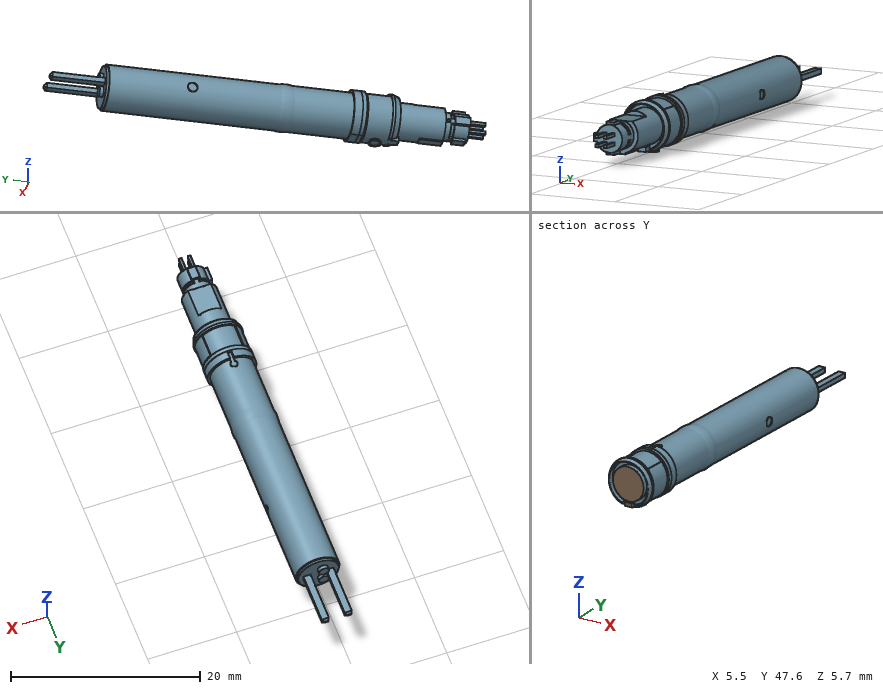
import cadquery as cq
import math


barrel_radius = 2.48
barrel_front = 13.85
barrel_back = 41.35
band_radius = 2.75
band_length = 0.9
ring_front = 21.2
ring_back = 22.6
ring_bulge = 0.1
side_hole_y = 32.3
side_hole_diameter = 1.05
side_hole_depth = 0.15
band_flat_drop = 2.6

keyhole_y = 15.37
keyhole_diameter = 0.75
keyhole_slot_width = 0.45
keyhole_floor = barrel_radius - 0.15

end_disc_radius = 2.3
end_disc_back = 41.65
stud_back = 42.1
stud_diameter = 1.15
stud_x = -0.48
stud_z = 0.75
prong_x = 1.3
prong_width = 0.8
prong_height = 0.55
prong_tip = 47.6
prong_chamfer_length = 0.25
prong_chamfer = 0.2

nose_radius = 2.0
nose_front = 4.6
nose_flat_height = 1.5
nose_flat_back = 7.9
nose_key_back = 7.15
nose_key_width = 0.95
nose_key_drop = nose_radius + 0.1

neck_radius = 1.5
plug_front = 1.9
groove_front = 3.5
groove_back = 3.9
groove_radius = 1.3
bridge_width = 0.55
rib_width = 0.95
rib_height = 1.75
rib_front = 2.15
side_rib_width = 0.85
side_rib_reach = 1.85
neck_hole_y = 4.2
neck_hole_diameter = 0.4
neck_hole_depth = 0.2

contact_width = 0.35
contact_spacing = 1.0
contact_offset = contact_spacing / 2

sleeve_front = 9.65
rim_radius = band_radius
sleeve_front_radius = 2.5
chamfer_back = 10.3
grip_front = 10.55
grip_back = 13.38
grip_radius = 2.65
relief_front = 13.25
recess_radius = 2.5
recess_half_angle = math.radians(45)
mouth_radius = 2.45
mouth_depth = 0.7
notch_width = 1.6
notch_top = 1.75
notch_back = chamfer_back
tab_width = 0.95
tab_top = 2.1
tab_front = 9.4
button_y = 11.9
button_drop = 2.95
button_head_height = 0.1
button_head_diameter = 1.4
button_stem_diameter = 1.05
button_root_gap = 0.15


def rod(radius, front, back, x=0, z=0):
    """Cylinder along Y between two stations."""
    return cq.Workplane("XZ", origin=(x, front, z)).circle(radius).extrude(front - back)


def block(x_range, y_range, z_range):
    """Axis-aligned box from its limits along each axis."""
    lows, highs = zip(x_range, y_range, z_range)
    size = [high - low for low, high in zip(lows, highs)]
    return cq.Workplane("XY").box(*size, centered=False).translate(lows)


def centred_block(width, y_range, z_range):
    """Box that straddles the plane x = 0."""
    return block((-width / 2, width / 2), y_range, z_range)


def bottom_trim(y_range):
    """Material below the bottom flat shared by the barrel band and the sleeve."""
    return centred_block(2 * band_radius, y_range, (-2 * band_radius, -band_flat_drop))


def make_barrel():
    band_back = barrel_front + band_length
    ring_middle = (ring_front + ring_back) / 2
    profile = (
        cq.Workplane("XY")
        .moveTo(0, barrel_front)
        .lineTo(band_radius, barrel_front)
        .lineTo(band_radius, band_back)
        .lineTo(barrel_radius, band_back)
        .lineTo(barrel_radius, ring_front)
        .threePointArc((barrel_radius + ring_bulge, ring_middle), (barrel_radius, ring_back))
        .lineTo(barrel_radius, barrel_back)
        .lineTo(end_disc_radius, barrel_back)
        .lineTo(end_disc_radius, end_disc_back)
        .lineTo(0, end_disc_back)
        .close()
    )
    barrel = profile.revolve(360, (0, 0, 0), (0, 1, 0))
    barrel = barrel.cut(bottom_trim((barrel_front, band_back)))

    for side in (-1, 1):
        hole = (
            cq.Workplane("YZ", origin=(side * (barrel_radius - side_hole_depth), 0, 0))
            .center(side_hole_y, 0)
            .circle(side_hole_diameter / 2)
            .extrude(side * barrel_radius)
        )
        barrel = barrel.cut(hole)

    keyhole = (
        cq.Workplane("XY", origin=(0, keyhole_y, keyhole_floor))
        .circle(keyhole_diameter / 2)
        .extrude(band_radius)
    )
    slot = centred_block(keyhole_slot_width, (barrel_front, keyhole_y), (keyhole_floor, 2 * band_radius))
    return barrel.cut(keyhole).cut(slot)


def make_prong(x):
    shank_back = prong_tip - prong_chamfer_length
    shank = (
        cq.Workplane("XZ", origin=(x, end_disc_back, 0))
        .rect(prong_width, prong_height)
        .extrude(end_disc_back - shank_back)
    )
    tip = (
        cq.Workplane("XZ", origin=(x, shank_back, 0))
        .rect(prong_width, prong_height)
        .workplane(offset=-prong_chamfer_length)
        .rect(prong_width - 2 * prong_chamfer, prong_height - 2 * prong_chamfer)
        .loft(ruled=True)
    )
    return shank.union(tip)


def make_nose():
    nose = rod(nose_radius, nose_front, barrel_front)
    flat = centred_block(
        2 * nose_radius, (nose_front, nose_flat_back), (nose_flat_height, 2 * nose_radius)
    )
    key = centred_block(nose_key_width, (nose_front, nose_key_back), (-nose_key_drop, 0))
    return nose.cut(flat).union(key)


def make_plug():
    plug = rod(neck_radius, plug_front, nose_front)

    groove = rod(neck_radius, groove_front, groove_back).cut(rod(groove_radius, groove_front, groove_back))
    upright = centred_block(bridge_width, (groove_front, groove_back), (-neck_radius, neck_radius))
    crosswise = upright.rotate((0, 0, 0), (0, 1, 0), 90)
    plug = plug.cut(groove.cut(upright).cut(crosswise))

    upright_rib = centred_block(rib_width, (rib_front, groove_front), (-rib_height, rib_height))
    side_rib = block(
        (-side_rib_reach, 0),
        (plug_front, groove_front),
        (-side_rib_width / 2, side_rib_width / 2),
    )
    neck_hole = (
        cq.Workplane("YZ", origin=(neck_hole_depth - neck_radius, neck_hole_y, 0))
        .circle(neck_hole_diameter / 2)
        .extrude(-neck_radius)
    )
    return plug.union(upright_rib).union(side_rib).cut(neck_hole)


def make_contact(x, z):
    return (
        cq.Workplane("XZ", origin=(x, 0, z))
        .rect(contact_width, contact_width)
        .extrude(-plug_front)
    )


def make_housing():
    housing = make_barrel().union(make_nose()).union(make_plug())
    for side in (-1, 1):
        housing = housing.union(make_prong(side * prong_x))
        housing = housing.union(
            rod(stud_diameter / 2, end_disc_back, stud_back, stud_x, side * stud_z)
        )
        for level in (-1, 1):
            housing = housing.union(make_contact(side * contact_offset, level * contact_offset))
    return housing


def make_grip_recess():
    """Shallow arc recess along the top of the sleeve grip."""
    reach = 2 * grip_radius
    half_width = reach * math.tan(recess_half_angle)
    wedge = (
        cq.Workplane("XZ", origin=(0, grip_front, 0))
        .polyline([(0, 0), (half_width, reach), (-half_width, reach)])
        .close()
        .extrude(grip_front - grip_back)
    )
    return wedge.cut(rod(recess_radius, grip_front, grip_back))


def make_button():
    """Headed stud under the sleeve."""
    head = (
        cq.Workplane("XY", origin=(0, button_y, -button_drop))
        .circle(button_head_diameter / 2)
        .extrude(button_head_height)
    )
    stem = (
        cq.Workplane("XY", origin=(0, button_y, -button_drop))
        .circle(button_stem_diameter / 2)
        .extrude(button_drop - nose_radius - button_root_gap)
    )
    return head.union(stem)


def make_sleeve():
    profile = (
        cq.Workplane("XY")
        .moveTo(nose_radius, barrel_front)
        .lineTo(rim_radius, barrel_front)
        .lineTo(rim_radius, grip_back)
        .lineTo(recess_radius, grip_back)
        .lineTo(recess_radius, relief_front)
        .lineTo(grip_radius, relief_front)
        .lineTo(grip_radius, grip_front)
        .lineTo(rim_radius, grip_front)
        .lineTo(rim_radius, chamfer_back)
        .lineTo(sleeve_front_radius, sleeve_front)
        .lineTo(mouth_radius, sleeve_front)
        .lineTo(mouth_radius, sleeve_front + mouth_depth)
        .lineTo(nose_radius, sleeve_front + mouth_depth)
        .close()
    )
    sleeve = profile.revolve(360, (0, 0, 0), (0, 1, 0))
    sleeve = sleeve.cut(make_grip_recess())
    sleeve = sleeve.cut(bottom_trim((sleeve_front, barrel_front)))

    notch = centred_block(notch_width, (sleeve_front, notch_back), (-rim_radius, -notch_top))
    tab = centred_block(tab_width, (tab_front, notch_back), (-band_flat_drop, -tab_top))
    return sleeve.cut(notch).union(tab).union(make_button())


housing = make_housing()
sleeve = make_sleeve()

result = cq.Compound.makeCompound([housing.val(), sleeve.val()])